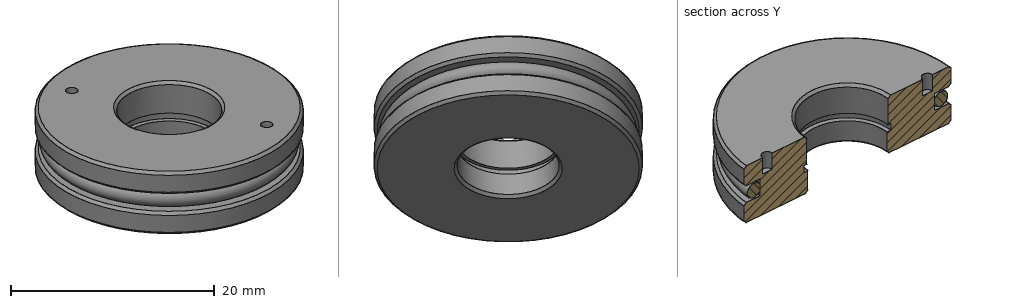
import cadquery as cq

outer_diameter = 26.29
height = 7.0
edge_chamfer = 0.3

wide_bore_diameter = 10.3
narrow_bore_diameter = 10.0
relief_diameter = 11.0
relief_width = 0.8
step_depth = 4.3

groove_diameter = 22.2
groove_width = 2.0
seal_thickness = 1.78
seal_outer_diameter = 25.5

pin_hole_diameter = 1.2
pin_hole_depth = 2.0
pin_hole_spacing = 20.3

top = height / 2
bottom = -height / 2
outer_radius = outer_diameter / 2
groove_radius = groove_diameter / 2
wide_radius = wide_bore_diameter / 2
narrow_radius = narrow_bore_diameter / 2
relief_radius = relief_diameter / 2


def make_flange(z_bottom, z_top):
    """A solid disc with both rims chamfered."""
    disc = cq.Workplane("XY").workplane(offset=z_bottom).circle(outer_radius).extrude(z_top - z_bottom)
    return disc.edges("%CIRCLE").chamfer(edge_chamfer)


def make_bore():
    """The stepped bore with its relief groove and a chamfered mouth at each end."""
    step_height = top - step_depth
    relief_top = step_height + relief_width
    profile = (
        cq.Workplane("XZ")
        .moveTo(0, top)
        .lineTo(wide_radius + edge_chamfer, top)
        .lineTo(wide_radius, top - edge_chamfer)
        .lineTo(wide_radius, relief_top)
        .lineTo(relief_radius, relief_top)
        .lineTo(relief_radius, step_height)
        .lineTo(narrow_radius, step_height)
        .lineTo(narrow_radius, bottom + edge_chamfer)
        .lineTo(narrow_radius + edge_chamfer, bottom)
        .lineTo(0, bottom)
        .close()
    )
    return profile.revolve(360, (0, 0, 0), (0, 1, 0))


def make_housing():
    """Two flanges on a core, bored through, with blind holes in the top face."""
    core = cq.Workplane("XY").workplane(offset=bottom).circle(groove_radius).extrude(height)
    upper_flange = make_flange(groove_width / 2, top)
    lower_flange = make_flange(bottom, -groove_width / 2)
    body = core.union(upper_flange).union(lower_flange).cut(make_bore())
    pin_holes = (
        cq.Workplane("XY")
        .workplane(offset=top)
        .rarray(pin_hole_spacing, 1, 2, 1)
        .circle(pin_hole_diameter / 2)
        .extrude(-pin_hole_depth)
    )
    return body.cut(pin_holes)


def make_seal():
    """A round-section ring, flattened on its inside where it presses on the groove floor."""
    section_radius = seal_thickness / 2
    section_centre = seal_outer_diameter / 2 - section_radius
    ring = cq.Workplane(cq.Solid.makeTorus(section_centre, section_radius))
    groove_core = cq.Workplane("XY").circle(groove_radius).extrude(groove_width / 2, both=True)
    return ring.cut(groove_core)


housing = make_housing()
seal = make_seal()

result = cq.Compound.makeCompound([housing.val(), seal.val()])